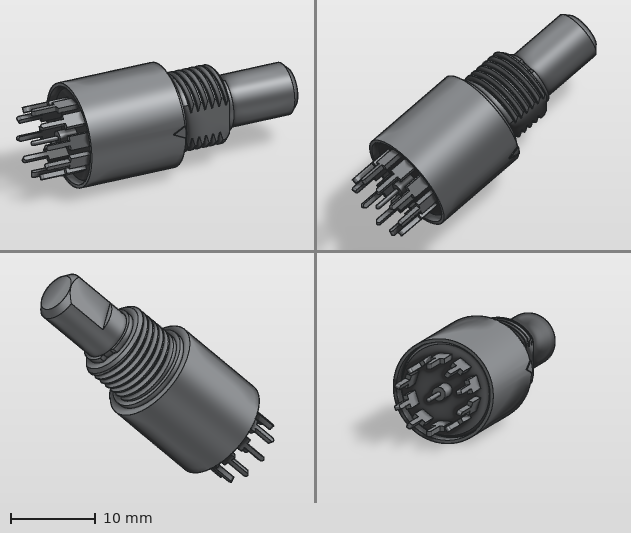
import cadquery as cq
import math


HOUSING_RADIUS = 6.35
HOUSING_LENGTH = 12.2
FLANGE_RADIUS = 5.38
FLANGE_LENGTH = 0.6
BUSHING_LENGTH = 6.3
BUSHING_FLAT_X = 3.85

THREAD_RADIUS = 4.77
THREAD_PITCH = 0.9
THREAD_DEPTH = 0.55
THREAD_CREST = 0.2
THREAD_ROOT = 0.15
THREAD_END_RUN = 0.45
THREAD_CUT_OVERSHOOT = 0.17
BUSHING_CHAMFER = 0.4

MARK_RADIUS = 6.5
MARK_WIDTH = 1.55
MARK_LENGTH = 1.58

SHAFT_RADIUS = 3.15
SHAFT_LENGTH = 8.87
SHAFT_CHAMFER = 0.77
SHAFT_FLAT_LENGTH = 6.3
SHAFT_FLAT_DISTANCE = 2.42
SHAFT_TURN = 16.7
RING_RADIUS = 3.55
RING_LENGTH = 0.7
NOTCH_FLOOR_WIDTH = 1.0
NOTCH_MOUTH_WIDTH = 2.82

BASE_RADIUS = 5.95
BASE_FRONT = 2.0
BASE_RECESS = 0.75
BASE_FACE_RADIUS = 5.55
BASE_CONE_RADIUS = 5.88
BASE_CONE_LENGTH = 0.75

TERMINAL_COUNT = 10
TERMINAL_CIRCLE_RADIUS = 4.1
TERMINAL_THICKNESS = 0.65
BLADE_WIDTH = 1.68
BLADE_END = 1.8
TERMINAL_PIN_WIDTH = 0.57
TERMINAL_END = 4.87

CENTRE_POST_RADIUS = 0.85
CENTRE_POST_END = 1.5
CENTRE_PIN_RADIUS = 0.27
CENTRE_PIN_END = 4.95

FLANGE_FRONT = HOUSING_LENGTH + FLANGE_LENGTH
BUSHING_FRONT = FLANGE_FRONT + BUSHING_LENGTH
RING_FRONT = BUSHING_FRONT + RING_LENGTH
SHAFT_FRONT = RING_FRONT + SHAFT_LENGTH


def cylinder(radius, start, end):
    """Solid cylinder on the Y axis from start to end."""
    return cq.Workplane("XZ", origin=(0, start, 0)).circle(radius).extrude(start - end)


def thread_groove():
    """Right-handed V-groove that runs out of the front face and ends inside the flat."""
    turns = math.ceil(BUSHING_LENGTH / THREAD_PITCH)
    root_radius = THREAD_RADIUS - THREAD_DEPTH
    outer_radius = THREAD_RADIUS + THREAD_CUT_OVERSHOOT
    mouth = THREAD_PITCH - THREAD_CREST
    flank_slope = (mouth - THREAD_ROOT) / THREAD_DEPTH
    outer_width = mouth + flank_slope * THREAD_CUT_OVERSHOOT
    helix = cq.Wire.makeHelix(THREAD_PITCH, turns * THREAD_PITCH, root_radius)
    profile = (
        cq.Workplane("XZ")
        .polyline(
            [
                (root_radius, -THREAD_ROOT / 2),
                (outer_radius, -outer_width / 2),
                (outer_radius, outer_width / 2),
                (root_radius, THREAD_ROOT / 2),
            ]
        )
        .close()
    )
    groove = profile.sweep(cq.Workplane(obj=helix), isFrenet=True)
    return groove.rotate((0, 0, 0), (1, 0, 0), -90).translate((0, FLANGE_FRONT + THREAD_END_RUN, 0))


def index_mark():
    """Triangle with its base on the front edge of the housing, pointing to the rear."""
    triangle = (
        cq.Workplane("YZ")
        .polyline(
            [
                (HOUSING_LENGTH, 0),
                (HOUSING_LENGTH, MARK_WIDTH),
                (HOUSING_LENGTH - MARK_LENGTH, MARK_WIDTH / 2),
            ]
        )
        .close()
        .extrude(MARK_RADIUS)
    )
    return triangle.intersect(cylinder(MARK_RADIUS, 0, HOUSING_LENGTH))


def threaded_bushing():
    """Bushing with a chamfered front, a flat on +X and the thread."""
    bushing = cylinder(THREAD_RADIUS, FLANGE_FRONT, BUSHING_FRONT).faces(">Y").chamfer(BUSHING_CHAMFER)
    flat_waste = cq.Workplane("XY").box(
        THREAD_RADIUS, BUSHING_LENGTH, 2 * THREAD_RADIUS, centered=(False, False, True)
    )
    bushing = bushing.cut(flat_waste.translate((BUSHING_FLAT_X, FLANGE_FRONT, 0)))
    return bushing.cut(thread_groove())


def make_housing():
    body = cylinder(HOUSING_RADIUS, 0, HOUSING_LENGTH).union(index_mark())
    body = body.union(cylinder(FLANGE_RADIUS, HOUSING_LENGTH, FLANGE_FRONT))
    body = body.union(threaded_bushing())
    body = body.cut(cylinder(BASE_RADIUS, 0, BASE_FRONT))
    return body.cut(cylinder(SHAFT_RADIUS, BASE_FRONT, BUSHING_FRONT))


def ring_notch():
    """Trapezoidal notch in the top of the retaining ring."""
    return (
        cq.Workplane("XZ", origin=(0, BUSHING_FRONT, 0))
        .polyline(
            [
                (-NOTCH_FLOOR_WIDTH / 2, SHAFT_RADIUS),
                (NOTCH_FLOOR_WIDTH / 2, SHAFT_RADIUS),
                (NOTCH_MOUTH_WIDTH / 2, RING_RADIUS),
                (-NOTCH_MOUTH_WIDTH / 2, RING_RADIUS),
            ]
        )
        .close()
        .extrude(-RING_LENGTH)
    )


def make_shaft():
    shaft = cylinder(SHAFT_RADIUS, BASE_FRONT, SHAFT_FRONT).faces(">Y").chamfer(SHAFT_CHAMFER)
    flat_waste = cq.Workplane("XY").box(
        SHAFT_RADIUS, SHAFT_FLAT_LENGTH, 2 * SHAFT_RADIUS, centered=(False, False, True)
    )
    flat_waste = flat_waste.translate((SHAFT_FLAT_DISTANCE, SHAFT_FRONT - SHAFT_FLAT_LENGTH, 0))
    shaft = shaft.cut(flat_waste.rotate((0, 0, 0), (0, 1, 0), 180))
    shaft = shaft.rotate((0, 0, 0), (0, 1, 0), -SHAFT_TURN)
    ring = cylinder(RING_RADIUS, BUSHING_FRONT, RING_FRONT)
    for turn in (0, 180):
        ring = ring.cut(ring_notch().rotate((0, 0, 0), (0, 1, 0), turn))
    return shaft.union(ring)


def flat_terminal():
    """Wide blade that narrows to a pin with a round end, placed above the axis."""
    half_blade = BLADE_WIDTH / 2
    half_pin = TERMINAL_PIN_WIDTH / 2
    round_start = half_pin - TERMINAL_END
    return (
        cq.Workplane("XY", origin=(0, 0, TERMINAL_CIRCLE_RADIUS - TERMINAL_THICKNESS / 2))
        .moveTo(-half_blade, BASE_RECESS)
        .lineTo(-half_blade, -BLADE_END)
        .lineTo(-half_pin, -BLADE_END)
        .lineTo(-half_pin, round_start)
        .threePointArc((0, -TERMINAL_END), (half_pin, round_start))
        .lineTo(half_pin, -BLADE_END)
        .lineTo(half_blade, -BLADE_END)
        .lineTo(half_blade, BASE_RECESS)
        .close()
        .extrude(TERMINAL_THICKNESS)
    )


def make_terminal_base():
    """Recessed plug with a conical edge, the centre terminal and the ring of flat terminals."""
    cone_end = BASE_RECESS + BASE_CONE_LENGTH
    base = (
        cq.Workplane("XY")
        .polyline(
            [
                (0, BASE_RECESS),
                (BASE_FACE_RADIUS, BASE_RECESS),
                (BASE_CONE_RADIUS, cone_end),
                (BASE_RADIUS, cone_end),
                (BASE_RADIUS, BASE_FRONT),
                (0, BASE_FRONT),
            ]
        )
        .close()
        .revolve(360, (0, 0, 0), (0, 1, 0))
    )
    base = base.union(cylinder(CENTRE_POST_RADIUS, -CENTRE_POST_END, BASE_RECESS))
    tip_centre = CENTRE_PIN_RADIUS - CENTRE_PIN_END
    base = base.union(cylinder(CENTRE_PIN_RADIUS, tip_centre, -CENTRE_POST_END))
    base = base.union(cq.Workplane("XY", origin=(0, tip_centre, 0)).sphere(CENTRE_PIN_RADIUS))
    for index in range(TERMINAL_COUNT):
        base = base.union(flat_terminal().rotate((0, 0, 0), (0, 1, 0), index * 360 / TERMINAL_COUNT))
    return base


housing = make_housing()
shaft = make_shaft()
terminal_base = make_terminal_base()

result = cq.Compound.makeCompound([housing.val(), shaft.val(), terminal_base.val()])